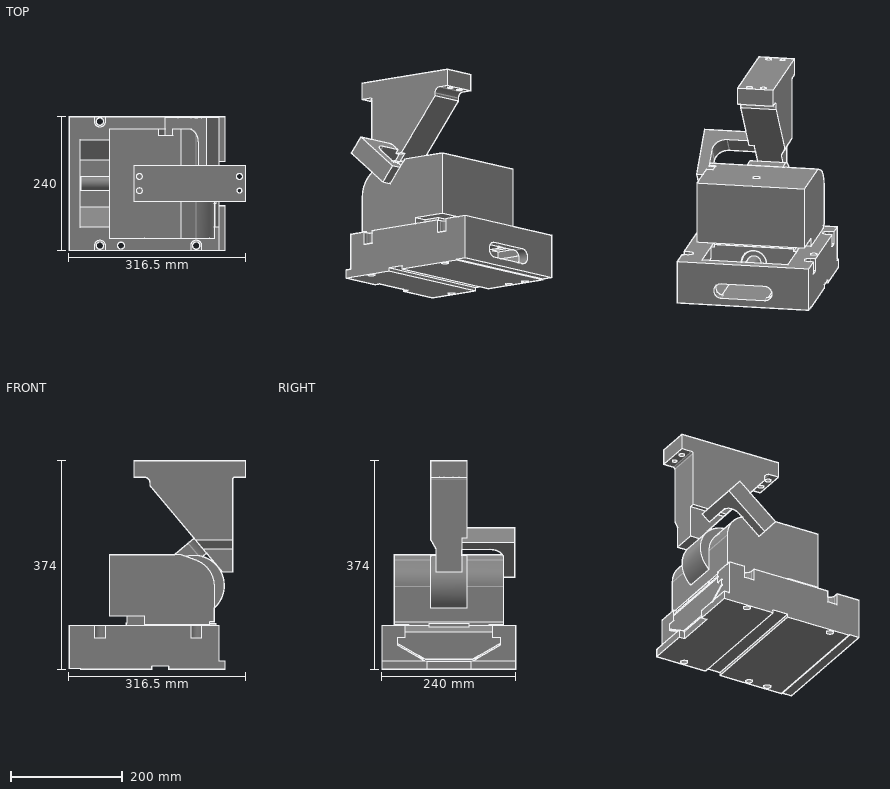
import cadquery as cq
import math

OVERALL_LENGTH = 316.5
OVERALL_HEIGHT = 374

BASE_LENGTH = 269.0
BASE_WIDTH = 240.0
BASE_HEIGHT = 79.0
LIP_LENGTH = 11.0
LIP_HEIGHT = 15.5
LIP_GAP_WIDTH = 79.0
FOOT_LENGTH = 20.2
FOOT_RELIEF = 1.5
KEYWAY_START = 148.5
KEYWAY_WIDTH = 30
KEYWAY_DEPTH = 6.0

END_WALL = 20.0
OPENING_HALF = 78.0
UNDERCUT_HALF = 92.5
FLOOR_HALF = 42.3
FLOOR_Z = 15
RAIL_THICKNESS = 21.7
FLOOR_ANGLE = 30
FLOOR_CLEARANCE = 3.0
UNDERCUT_RISE = (UNDERCUT_HALF - FLOOR_HALF) * math.tan(math.radians(FLOOR_ANGLE))
RAIL_BOTTOM_Z = BASE_HEIGHT - RAIL_THICKNESS
WINDOW_LENGTH = 106.0
WINDOW_HEIGHT = 27.0
WINDOW_Z = FLOOR_Z + WINDOW_HEIGHT / 2

SCREW_XS = (55.5, 227.8)
SCREW_Y = 111.0
SCREW_DIAMETER = 12.7
SCREW_HEAD_DIAMETER = 19.5
SCREW_HEAD_DEPTH = 22.5
DOWEL_X = 93.0
DOWEL_DIAMETER = 12.0

BLOCK_START = 72.0
BLOCK_END = 260.3
BLOCK_HALF_WIDTH = 98.0
BLOCK_TOP = 205.7
BLOCK_BOTTOM = 95.5
LEG_START = 135.0
LEG_BOTTOM = 80.5
BACK_STEP_X = 251.7
BACK_STEP_Z = 85.3
BEVEL_START = 200.5
BEVEL_ANGLE = 20
NOSE_RADIUS = 50.0
NECK_START = 103.5
NECK_HALF_WIDTH = 72.0
KEEL_START = 102.5
KEEL_TOP = 83.5
KEEL_BEVEL_RUN = 7.0
KEEL_BEVEL_DROP = 11.5
TAB_END = 263.3
TAB_HALF_WIDTH = 36.0
TAB_TOP = 82.3
LIFTING_HOLE_X = 127
LIFTING_HOLE_DIAMETER = 13.0
LIFTING_HOLE_DEPTH = 30

ROLLER_X = 224.0
ROLLER_Z = 150.5
ROLLER_RADIUS = 54.2
ARM_HALF_WIDTH = 32.5

HEAD_START = 116
HEAD_THICKNESS = 30
POST_START = 144.7
POST_END = 293.2
POST_BOTTOM = 174.3
FRONT_FILLET = 9.7
BACK_FILLET = 3.0
NARROW_HALF_WIDTH = 23.2
SHOULDER_Z = 235.2
WAIST_TOP = 232.3
WAIST_BOTTOM = 215.8
HEAD_HOLE_FRONT_X = 126.0
HEAD_HOLE_BACK_X = 305.0
HEAD_HOLE_PITCH = 25.5
HEAD_HOLE_DIAMETER = 10.5
HEAD_DOWEL_DIAMETER = 8.2

HOOK_ANGLE = 40
HOOK_BOTTOM = 30
HOOK_THICKNESS = 35.0
HOOK_U_START = -13.0
HOOK_U_END = 83.8
HOOK_TIP_WIDTH = 18.7
HOOK_LEG_WIDTH = 19.5
HOOK_OUTER_Y = 118.0
HOOK_INNER_Y = BLOCK_HALF_WIDTH
HOOK_TIP_Y = 85.5
HOOK_FILLET = 24.0
HOOK_SLOT_HEIGHT = 112.2

SPRING_Z = 53.0
ROD_RADIUS = 12.7
ROD_CHAMFER = 2.0
CYLINDER_RADIUS = 22.0
BORE_RADIUS = 23.2
CYLINDER_SETBACK = 2.2
CYLINDER_START = KEEL_START + CYLINDER_SETBACK
CYLINDER_END = 224.5


def box(x0, x1, y0, y1, z0, z1):
    return cq.Workplane("XY").box(x1 - x0, y1 - y0, z1 - z0, centered=False).translate((x0, y0, z0))


def centred_box(x0, x1, half_width, z0, z1):
    return box(x0, x1, -half_width, half_width, z0, z1)


def side_profile(points, half_width):
    """A prism across Y with the given outline in X and Z."""
    return cq.Workplane("XZ").polyline(points).close().extrude(half_width, both=True)


def x_cylinder(x0, x1, radius):
    """A cylinder along the gas spring axis."""
    return cq.Workplane("YZ", origin=(x0, 0, SPRING_Z)).circle(radius).extrude(x1 - x0)


def slideway(x0, x1, floor_z):
    """The undercut V-floored channel section, up to the top of the base."""
    right_half = [
        (FLOOR_HALF, floor_z),
        (UNDERCUT_HALF, floor_z + UNDERCUT_RISE),
        (UNDERCUT_HALF, RAIL_BOTTOM_Z),
        (OPENING_HALF, RAIL_BOTTOM_Z),
        (OPENING_HALF, BASE_HEIGHT),
    ]
    left_half = [(-y, z) for y, z in reversed(right_half)]
    profile = cq.Workplane("YZ", origin=(x0, 0, 0)).polyline(right_half + left_half).close()
    return profile.extrude(x1 - x0)


def make_base():
    half_width = BASE_WIDTH / 2
    body = centred_box(0, BASE_LENGTH, half_width, 0, BASE_HEIGHT)
    lip_end = BASE_LENGTH + LIP_LENGTH
    body = body.union(centred_box(BASE_LENGTH, lip_end, half_width, 0, LIP_HEIGHT))
    body = body.cut(centred_box(BASE_LENGTH, lip_end, LIP_GAP_WIDTH / 2, 0, LIP_HEIGHT))
    body = body.cut(centred_box(0, FOOT_LENGTH, half_width, 0, FOOT_RELIEF))
    body = body.cut(centred_box(KEYWAY_START, KEYWAY_START + KEYWAY_WIDTH, half_width, 0, KEYWAY_DEPTH))
    body = body.cut(slideway(END_WALL, BASE_LENGTH, FLOOR_Z))

    window = cq.Workplane("YZ", origin=(0, 0, WINDOW_Z)).slot2D(WINDOW_LENGTH, WINDOW_HEIGHT)
    body = body.cut(window.extrude(END_WALL))

    for x in SCREW_XS:
        for side in (-1, 1):
            body = body.cut(screw_seat(x, side))
    dowel = cq.Workplane("XY").center(DOWEL_X, -SCREW_Y).circle(DOWEL_DIAMETER / 2)
    return body.cut(dowel.extrude(BASE_HEIGHT))


def screw_seat(x, side):
    """A through hole with a head recess that is open to the side of the base."""
    head_radius = SCREW_HEAD_DIAMETER / 2
    floor_z = BASE_HEIGHT - SCREW_HEAD_DEPTH
    at_screw = cq.Workplane("XY").center(x, side * SCREW_Y)
    hole = at_screw.circle(SCREW_DIAMETER / 2).extrude(BASE_HEIGHT)
    head = at_screw.workplane(offset=floor_z).circle(head_radius).extrude(SCREW_HEAD_DEPTH)
    y0, y1 = sorted((side * SCREW_Y, side * BASE_WIDTH / 2))
    mouth = box(x - head_radius, x + head_radius, y0, y1, floor_z, BASE_HEIGHT)
    return hole.union(head).union(mouth)


def hook_plane(v):
    """The plane at height v in the hook frame: local X is U and local Y is +Y."""
    angle = math.radians(HOOK_ANGLE)
    plane = cq.Plane(
        origin=(ROLLER_X, 0, ROLLER_Z),
        xDir=(math.cos(angle), 0, math.sin(angle)),
        normal=(-math.sin(angle), 0, math.cos(angle)),
    )
    return cq.Workplane(plane).workplane(offset=v)


def make_block():
    """The block of the slide, with its bevelled and rounded upper nose."""
    bevel = math.radians(BEVEL_ANGLE)
    nose_x = BLOCK_END - NOSE_RADIUS
    tangent_x = nose_x + NOSE_RADIUS * math.sin(bevel)
    tangent_z = BLOCK_TOP - (tangent_x - BEVEL_START) * math.tan(bevel)
    nose_z = tangent_z - NOSE_RADIUS * math.cos(bevel)
    middle = (math.pi / 2 - bevel) / 2
    arc_middle = (nose_x + NOSE_RADIUS * math.cos(middle), nose_z + NOSE_RADIUS * math.sin(middle))
    outline = (
        cq.Workplane("XZ")
        .moveTo(BLOCK_START, BLOCK_BOTTOM)
        .lineTo(BLOCK_START, BLOCK_TOP)
        .lineTo(BEVEL_START, BLOCK_TOP)
        .lineTo(tangent_x, tangent_z)
        .threePointArc(arc_middle, (BLOCK_END, nose_z))
        .lineTo(BLOCK_END, BACK_STEP_Z)
        .lineTo(BACK_STEP_X, BACK_STEP_Z)
        .lineTo(BACK_STEP_X, LEG_BOTTOM)
        .lineTo(LEG_START, LEG_BOTTOM)
        .lineTo(LEG_START, BLOCK_BOTTOM)
        .close()
    )
    return outline.extrude(BLOCK_HALF_WIDTH, both=True)


def make_keel():
    """The guide that hangs under the rails, just clear of the floor, and joins the block through the neck."""
    keel = slideway(KEEL_START, BASE_LENGTH, FLOOR_Z + FLOOR_CLEARANCE)
    bevel = [
        (BASE_LENGTH - KEEL_BEVEL_RUN, BASE_HEIGHT),
        (BASE_LENGTH, BASE_HEIGHT),
        (BASE_LENGTH, BASE_HEIGHT - KEEL_BEVEL_DROP),
    ]
    keel = keel.cut(side_profile(bevel, OPENING_HALF))
    keel = keel.union(centred_box(KEEL_START, BACK_STEP_X, NECK_HALF_WIDTH, RAIL_BOTTOM_Z, KEEL_TOP))
    neck = centred_box(NECK_START, BACK_STEP_X, NECK_HALF_WIDTH, RAIL_BOTTOM_Z, BLOCK_BOTTOM)
    tab = [
        (BACK_STEP_X, BASE_HEIGHT),
        (BACK_STEP_X, TAB_TOP),
        (TAB_END, TAB_TOP),
        (TAB_END, RAIL_BOTTOM_Z),
        (BACK_STEP_X, RAIL_BOTTOM_Z),
    ]
    return keel.union(neck).union(side_profile(tab, TAB_HALF_WIDTH))


def make_slide():
    roller = cq.Workplane("XZ").center(ROLLER_X, ROLLER_Z).circle(ROLLER_RADIUS)
    body = make_block().union(make_keel()).union(roller.extrude(ARM_HALF_WIDTH, both=True))

    body = body.cut(x_cylinder(KEEL_START, CYLINDER_END, BORE_RADIUS))

    hole = cq.Workplane("XY", origin=(LIFTING_HOLE_X, 0, BLOCK_TOP - LIFTING_HOLE_DEPTH))
    body = body.cut(hole.circle(LIFTING_HOLE_DIAMETER / 2).extrude(LIFTING_HOLE_DEPTH))

    slot = (
        hook_plane(HOOK_BOTTOM)
        .moveTo(HOOK_U_START, HOOK_TIP_Y)
        .lineTo(HOOK_U_START + HOOK_TIP_WIDTH, HOOK_TIP_Y)
        .lineTo(HOOK_U_START + HOOK_TIP_WIDTH, BLOCK_HALF_WIDTH)
        .lineTo(HOOK_U_START, BLOCK_HALF_WIDTH)
        .close()
        .extrude(HOOK_SLOT_HEIGHT)
    )
    return body.cut(slot)


def make_post():
    """The head plate and the post, whose sloping face is tangent to the roller."""
    slope = math.radians(HOOK_ANGLE)
    head_bottom = OVERALL_HEIGHT - HEAD_THICKNESS

    def slope_x(z):
        return ROLLER_X + (ROLLER_RADIUS - (z - ROLLER_Z) * math.sin(slope)) / math.cos(slope)

    slope_top = ROLLER_Z + (ROLLER_RADIUS - (POST_START - ROLLER_X) * math.cos(slope)) / math.sin(slope)
    diagonal = math.sqrt(0.5)
    front_arc = (
        POST_START - FRONT_FILLET * (1 - diagonal),
        head_bottom - FRONT_FILLET * (1 - diagonal),
    )
    back_arc = (
        POST_END + BACK_FILLET * (1 - diagonal),
        head_bottom - BACK_FILLET * (1 - diagonal),
    )
    outline = (
        cq.Workplane("XZ")
        .moveTo(HEAD_START, OVERALL_HEIGHT)
        .lineTo(HEAD_START, head_bottom)
        .lineTo(POST_START - FRONT_FILLET, head_bottom)
        .threePointArc(front_arc, (POST_START, head_bottom - FRONT_FILLET))
        .lineTo(POST_START, slope_top)
        .lineTo(slope_x(POST_BOTTOM), POST_BOTTOM)
        .lineTo(POST_END, POST_BOTTOM)
        .lineTo(POST_END, head_bottom - BACK_FILLET)
        .threePointArc(back_arc, (POST_END + BACK_FILLET, head_bottom))
        .lineTo(OVERALL_LENGTH, head_bottom)
        .lineTo(OVERALL_LENGTH, OVERALL_HEIGHT)
        .close()
    )
    post = outline.extrude(ARM_HALF_WIDTH, both=True)

    post = post.cut(box(0, POST_END, NARROW_HALF_WIDTH, ARM_HALF_WIDTH, 0, SHOULDER_Z))
    waist = (
        cq.Workplane("YZ")
        .moveTo(-ARM_HALF_WIDTH, WAIST_TOP)
        .lineTo(-NARROW_HALF_WIDTH, WAIST_BOTTOM)
        .lineTo(-NARROW_HALF_WIDTH, 0)
        .lineTo(-ARM_HALF_WIDTH, 0)
        .close()
        .extrude(POST_END)
    )
    return post.cut(waist)


def make_hook():
    """The side plate of the arm: a tip held in the slide, a back and a leg to the post."""
    tip_u = HOOK_U_START + HOOK_TIP_WIDTH
    leg_u = HOOK_U_END - HOOK_LEG_WIDTH
    corner = HOOK_FILLET * (1 - math.sqrt(0.5))
    outline = (
        hook_plane(HOOK_BOTTOM)
        .moveTo(HOOK_U_START, HOOK_TIP_Y)
        .lineTo(HOOK_U_START, HOOK_OUTER_Y)
        .lineTo(HOOK_U_END, HOOK_OUTER_Y)
        .lineTo(HOOK_U_END, NARROW_HALF_WIDTH)
        .lineTo(leg_u, NARROW_HALF_WIDTH)
        .lineTo(leg_u, HOOK_INNER_Y - HOOK_FILLET)
        .threePointArc((leg_u - corner, HOOK_INNER_Y - corner), (leg_u - HOOK_FILLET, HOOK_INNER_Y))
        .lineTo(tip_u, HOOK_INNER_Y)
        .lineTo(tip_u, HOOK_TIP_Y)
        .close()
    )
    return outline.extrude(HOOK_THICKNESS)


def make_arm():
    body = make_post().union(make_hook())
    head_holes = (
        (HEAD_HOLE_FRONT_X, 1, HEAD_HOLE_DIAMETER),
        (HEAD_HOLE_FRONT_X, -1, HEAD_HOLE_DIAMETER),
        (HEAD_HOLE_BACK_X, 1, HEAD_HOLE_DIAMETER),
        (HEAD_HOLE_BACK_X, -1, HEAD_DOWEL_DIAMETER),
    )
    for x, side, diameter in head_holes:
        hole = cq.Workplane("XY", origin=(x, side * HEAD_HOLE_PITCH / 2, OVERALL_HEIGHT))
        body = body.cut(hole.circle(diameter / 2).extrude(-HEAD_THICKNESS))
    return body


def make_gas_spring():
    """A cylinder in the bore of the slide, with its rod against the end wall of the base."""
    rod = x_cylinder(END_WALL, CYLINDER_START, ROD_RADIUS).faces("<X").chamfer(ROD_CHAMFER)
    return rod.union(x_cylinder(CYLINDER_START, CYLINDER_END, CYLINDER_RADIUS))


base = make_base().solids()
slide = make_slide().solids()
arm = make_arm().solids()
gas_spring = make_gas_spring().solids()

result = cq.Compound.makeCompound([base.val(), slide.val(), arm.val(), gas_spring.val()])